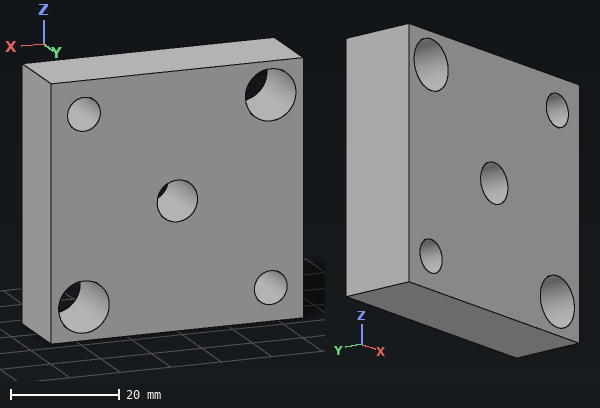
import cadquery as cq

side = 50
thickness = 15

center_hole_diameter = 8
large_hole_diameter = 10
small_hole_diameter = 6.5
corner_hole_spacing = 37
corner_offset = corner_hole_spacing / 2

large_hole_places = [(-corner_offset, corner_offset), (corner_offset, -corner_offset)]
small_hole_places = [(corner_offset, corner_offset), (-corner_offset, -corner_offset)]


def through_holes(places, diameter):
    """Cylinders along Y at the given (x, z) places, spanning the plate thickness."""
    return (
        cq.Workplane("XZ")
        .pushPoints(places)
        .circle(diameter / 2)
        .extrude(thickness / 2, both=True)
    )


plate = cq.Workplane("XY").box(side, thickness, side)

result = (
    plate
    .cut(through_holes([(0, 0)], center_hole_diameter))
    .cut(through_holes(large_hole_places, large_hole_diameter))
    .cut(through_holes(small_hole_places, small_hole_diameter))
)